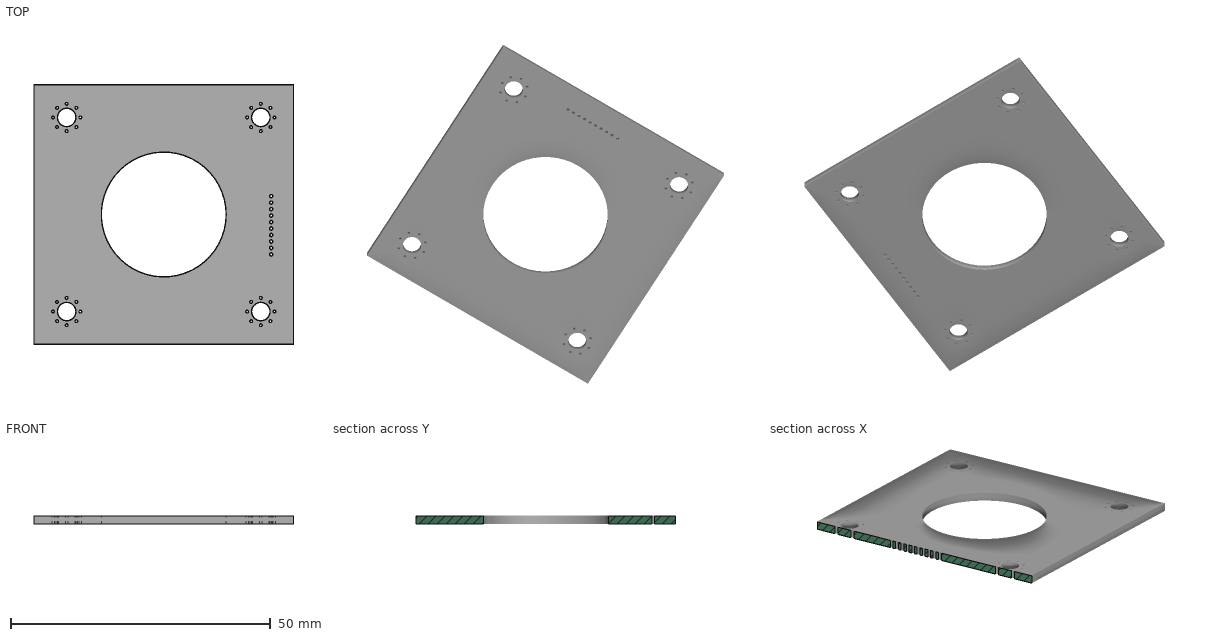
import cadquery as cq
import math

plate_side = 50.0
plate_thickness = 1.6

opening_diameter = 24.0

mount_offset = 18.7
mount_diameter = 3.5
via_diameter = 0.5
via_count = 8
via_ring_radius = 2.625

row_x = 20.7
row_center_y = -2.075
row_count = 10
row_pitch = 1.25
row_diameter = 0.6


def make_plate():
    """Square plate centred on the origin, resting on Z = 0."""
    return cq.Workplane("XY").box(
        plate_side, plate_side, plate_thickness, centered=(True, True, False)
    )


def drill(body, points, diameter):
    """Cut round through holes at the given XY points."""
    drills = (
        cq.Workplane("XY")
        .pushPoints(points)
        .circle(diameter / 2)
        .extrude(plate_thickness)
    )
    return body.cut(drills)


def via_ring(center):
    """Evenly spaced via positions around a mounting hole."""
    center_x, center_y = center
    angles = [2 * math.pi * index / via_count for index in range(via_count)]
    return [
        (
            center_x + via_ring_radius * math.cos(angle),
            center_y + via_ring_radius * math.sin(angle),
        )
        for angle in angles
    ]


def connector_row():
    """Hole positions in a straight line parallel to Y."""
    first_y = row_center_y - row_pitch * (row_count - 1) / 2
    return [(row_x, first_y + row_pitch * index) for index in range(row_count)]


mount_centers = [
    (side_x * mount_offset, side_y * mount_offset)
    for side_x in (-1, 1)
    for side_y in (-1, 1)
]

body = make_plate()
body = drill(body, [(0, 0)], opening_diameter)
body = drill(body, mount_centers, mount_diameter)
for mount_center in mount_centers:
    body = drill(body, via_ring(mount_center), via_diameter)
body = drill(body, connector_row(), row_diameter)

result = body